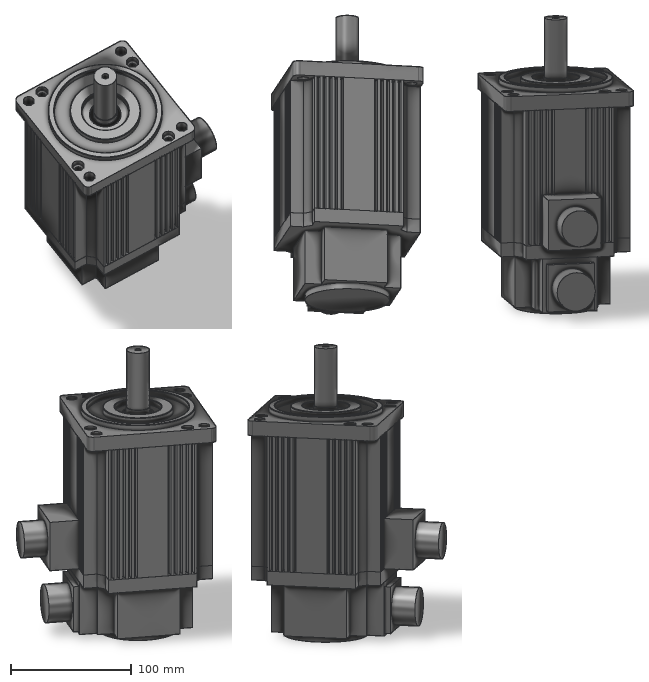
import cadquery as cq
import math

shaft_top = 54.7
pilot_height = 4.6
flange_thickness = 12.5
stator_length = 114.5
rear_cap_thickness = 11.7
cover_height = 45.6
overall_height = 244

stator_top = -flange_thickness
stator_bottom = stator_top - stator_length
rear_cap_bottom = stator_bottom - rear_cap_thickness
cover_bottom = rear_cap_bottom - cover_height
end_disc_height = overall_height - shaft_top + cover_bottom

body_width = 110.0
half_width = body_width / 2
motor_bore_diameter = 95.2
flange_corner_radius = 5

pilot_diameter = 95.0
pocket_depth = 5
pocket_diameter = 85.0
bearing_boss_diameter = 58.5
seal_recess_diameter = 39
rim_chamfer = 0.5
shaft_bore_diameter = 26.0
front_wall_thickness = 2.0
mounting_hole_diameter = 9.0
mounting_circle_diameter = 130.0
screw_x = 31.5
screw_y = 47.8
screw_hole_diameter = 5.4
screw_head_diameter = 10.0
screw_head_depth = 5.4

notch_edge = 37.5
notch_chamfer_start = 43.7
groove_count = 5
groove_width = 2.32
groove_depth = 7.3
first_groove = 13.2
last_groove = 33.2
groove_pitch = (last_groove - first_groove) / (groove_count - 1)

cover_width = 81.0
cover_notch_edge = 26.5
cover_extension_width = 46.4
end_disc_diameter = 70.3

shaft_diameter = 19.0
collar_diameter = 20.0
collar_height = 5.1
center_hole_diameter = 5.4
center_hole_depth = 9.8
drill_tip_angle = 118

power_box_width = 45.0
power_box_length = 25.0
power_box_height = 42.7
power_box_offset = 1.5
power_plug_diameter = 30.5
plug_length = 20.0

encoder_plate_width = 39.8
encoder_plate_thickness = 4.6
encoder_plug_diameter = 32.5
encoder_plug_drop = 24.2


def disc(diameter, bottom, height):
    """Upright cylinder about the motor axis."""
    return cq.Workplane("XY").workplane(offset=bottom).circle(diameter / 2).extrude(height)


def block(x_size, y_size, bottom, height):
    """Upright box centred on the motor axis."""
    return cq.Workplane("XY").workplane(offset=bottom).rect(x_size, y_size).extrude(height)


def quarter_turns(point):
    """The four places of a point turned about the motor axis in steps of 90 degrees."""
    x, y = point
    return [(x, y), (-y, x), (-x, -y), (y, -x)]


def notched_block(bottom, height):
    """Square block with a chamfered inside corner cut into each vertical edge."""
    corner = [
        (half_width, notch_edge),
        (notch_chamfer_start, notch_edge),
        (notch_edge, notch_chamfer_start),
        (notch_edge, half_width),
    ]
    turned_corners = [quarter_turns(point) for point in corner]
    outline = [places[turn] for turn in range(4) for places in turned_corners]
    return cq.Workplane("XY").workplane(offset=bottom).polyline(outline).close().extrude(height)


def make_flange():
    flange = block(body_width, body_width, stator_top, flange_thickness)
    flange = flange.edges("|Z").fillet(flange_corner_radius)

    pocket_floor = pilot_height - pocket_depth
    flange = flange.union(disc(pilot_diameter, 0, pilot_height))
    flange = flange.cut(disc(pocket_diameter, pocket_floor, pocket_depth))
    flange = flange.union(disc(bearing_boss_diameter, pocket_floor, pocket_depth))
    flange = flange.cut(disc(seal_recess_diameter, pocket_floor, pocket_depth))
    flange = flange.faces(">Z").edges().chamfer(rim_chamfer)

    wall_bottom = pocket_floor - front_wall_thickness
    flange = flange.cut(disc(motor_bore_diameter, stator_top, wall_bottom - stator_top))
    flange = flange.cut(disc(shaft_bore_diameter, wall_bottom, front_wall_thickness))

    hole_place = mounting_circle_diameter / 2 / math.sqrt(2)
    face = cq.Workplane("XY")
    mounting_holes = (
        face.pushPoints(quarter_turns((hole_place, hole_place)))
        .circle(mounting_hole_diameter / 2)
        .extrude(-flange_thickness)
    )
    screws = face.pushPoints(quarter_turns((screw_x, -screw_y)))
    screw_holes = screws.circle(screw_hole_diameter / 2).extrude(-flange_thickness)
    screw_heads = screws.circle(screw_head_diameter / 2).extrude(-screw_head_depth)
    return flange.cut(mounting_holes).cut(screw_holes).cut(screw_heads)


def make_stator():
    stator = notched_block(stator_bottom, stator_length)
    stator = stator.cut(disc(motor_bore_diameter, stator_bottom, stator_length))

    groove = block(groove_width, groove_depth, stator_bottom, stator_length)
    groove_y = half_width - groove_depth / 2
    for index in range(groove_count):
        groove_x = first_groove + groove_pitch * index + groove_width / 2
        for x in (-groove_x, groove_x):
            placed_groove = groove.translate((x, groove_y, 0))
            for turn in range(4):
                stator = stator.cut(placed_groove.rotate((0, 0, 0), (0, 0, 1), 90 * turn))
    return stator


def make_rear_cap():
    return notched_block(rear_cap_bottom, rear_cap_thickness)


def make_encoder_cover():
    cross_arm = 2 * cover_notch_edge
    cover = block(cover_width, cross_arm, cover_bottom, cover_height)
    cover = cover.union(block(cross_arm, cover_width, cover_bottom, cover_height))
    extension = block(cover_extension_width, half_width, cover_bottom, cover_height)
    cover = cover.union(extension.translate((0, half_width / 2, 0)))
    return cover.union(disc(end_disc_diameter, cover_bottom - end_disc_height, end_disc_height))


def make_shaft():
    shaft = disc(shaft_diameter, pilot_height, shaft_top - pilot_height)
    shaft = shaft.union(disc(collar_diameter, pilot_height - collar_height, collar_height))

    radius = center_hole_diameter / 2
    tip_length = radius / math.tan(math.radians(drill_tip_angle / 2))
    hole = (
        cq.Workplane("XZ")
        .moveTo(0, shaft_top)
        .lineTo(radius, shaft_top)
        .lineTo(radius, shaft_top - center_hole_depth)
        .lineTo(0, shaft_top - center_hole_depth - tip_length)
        .close()
        .revolve(360, (0, 0, 0), (0, 1, 0))
    )
    return shaft.cut(hole)


def make_connector(base_width, base_height, base_length, plug_diameter, x, z):
    """Rectangular base on the +Y side with a round plug standing on it."""
    side = cq.Workplane("XZ", origin=(x, half_width, z))
    base = side.rect(base_width, base_height).extrude(-base_length)
    plug = side.workplane(offset=-base_length).circle(plug_diameter / 2).extrude(-plug_length)
    return base.union(plug)


flange = make_flange()
stator = make_stator()
rear_cap = make_rear_cap()
encoder_cover = make_encoder_cover()
shaft = make_shaft()
power_connector = make_connector(
    power_box_width,
    power_box_height,
    power_box_length,
    power_plug_diameter,
    power_box_offset,
    stator_bottom + power_box_height / 2,
)
encoder_connector = make_connector(
    encoder_plate_width,
    encoder_plate_width,
    encoder_plate_thickness,
    encoder_plug_diameter,
    0,
    rear_cap_bottom - encoder_plug_drop,
)

bodies = [flange, stator, rear_cap, encoder_cover, shaft, power_connector, encoder_connector]
result = cq.Compound.makeCompound([body.val() for body in bodies])